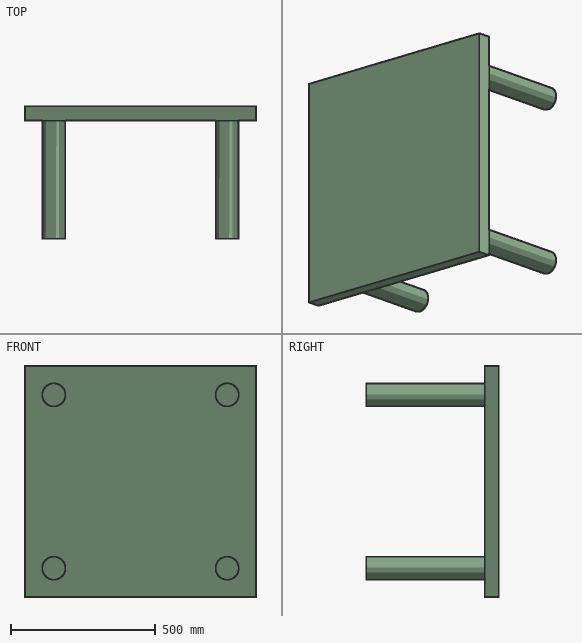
import cadquery as cq

top_side = 800.0
top_thickness = 50.0
overall_depth = 460.0
leg_diameter = 80.0
leg_inset = 100.0

leg_length = overall_depth - top_thickness
leg_spacing = top_side - 2 * leg_inset


def make_top():
    """Square slab with its underside on the plane Y = 0."""
    return cq.Workplane("XY").box(
        top_side, top_thickness, top_side, centered=(True, False, True)
    )


def make_legs():
    """Four round legs running from the underside of the top toward -Y."""
    return (
        cq.Workplane("XZ")
        .rarray(leg_spacing, leg_spacing, 2, 2)
        .circle(leg_diameter / 2)
        .extrude(leg_length)
    )


result = make_top().union(make_legs())